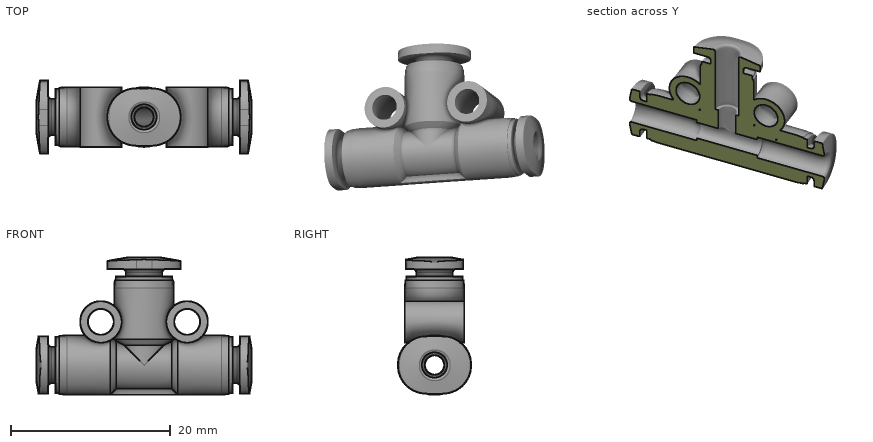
import cadquery as cq
import math


socket_reach = 13.5
body_radius = 7.5 / 2
lead_start = 9.65
lead_end = 10.6
lead_end_radius = 3.68
ring_end = 11.1
ring_radius = 7.1 / 2
ring_round = 0.1

neck_radius = 4.58 / 2
neck_fillet = 0.4
flange_back = 12.0
flange_length = 9.2
flange_width = 7.2
crown_drop = 0.45
rim_round = 0.15

tube_bore_radius = 3.17 / 2
tube_stop = 4.2
through_bore_radius = 2.4 / 2
mouth_round = 0.35

core_radius = 3.0
run_body_start = 4.2
branch_body_start = 3.25
shoulder_length = body_radius - core_radius
web_thickness = 1.2

eye_offset = 5.4
eye_diameter = 5.2
eye_hole_diameter = 3.2
eye_length = 2 * body_radius


def make_run_cylinder(radius, half_length):
    """Cylinder along X, centred on the origin."""
    end_plane = cq.Workplane("YZ", origin=(-half_length, 0, 0))
    return end_plane.circle(radius).extrude(2 * half_length)


def make_crossing_cylinders(radius, run_half_length, branch_length):
    """Cylinder along X with an equal one rising from it along +Z."""
    branch = cq.Workplane("XY").circle(radius).extrude(branch_length)
    return make_run_cylinder(radius, run_half_length).union(branch)


def make_web():
    """Rib under the core, filling the gap between the two run bodies."""
    blank = cq.Workplane("XY", origin=(0, 0, -body_radius / 2)).box(
        2 * run_body_start, web_thickness, body_radius
    )
    return blank.intersect(make_run_cylinder(body_radius, run_body_start))


def make_body(body_start):
    """Socket body, retaining ring and collar neck along +Z."""
    cone_start = body_start - shoulder_length
    ring_rounding_end = (ring_radius - ring_round, ring_end)
    neck_fillet_end = (neck_radius + neck_fillet, flange_back)
    return (
        cq.Workplane("XZ")
        .moveTo(0, cone_start)
        .lineTo(core_radius, cone_start)
        .lineTo(body_radius, body_start)
        .lineTo(body_radius, lead_start)
        .lineTo(lead_end_radius, lead_end)
        .lineTo(ring_radius, lead_end)
        .lineTo(ring_radius, ring_end - ring_round)
        .tangentArcPoint(ring_rounding_end, relative=False)
        .lineTo(neck_radius, ring_end)
        .lineTo(neck_radius, flange_back - neck_fillet)
        .tangentArcPoint(neck_fillet_end, relative=False)
        .lineTo(0, flange_back)
        .close()
        .revolve(360, (0, 0, 0), (0, 1, 0))
    )


def make_flange():
    """Oblong flange along +Z, long in X, with a shallow conical face."""
    thickness = socket_reach - flange_back
    back_plane = cq.Workplane("XY", origin=(0, 0, flange_back))
    blank = back_plane.slot2D(flange_length, flange_width).extrude(thickness)
    tip_radius = flange_length / 2
    rim_height = socket_reach - crown_drop
    rim_rounding_end = (tip_radius - rim_round, rim_height)
    crown = (
        cq.Workplane("XZ")
        .moveTo(0, flange_back)
        .lineTo(tip_radius, flange_back)
        .lineTo(tip_radius, rim_height - rim_round)
        .tangentArcPoint(rim_rounding_end, relative=False)
        .lineTo(tube_bore_radius + mouth_round, socket_reach)
        .lineTo(0, socket_reach)
        .close()
        .revolve(360, (0, 0, 0), (0, 1, 0))
    )
    return blank.intersect(crown)


def make_tube_bore():
    """Tube bore with a rounded mouth, along +Z."""
    mouth_radius = tube_bore_radius + mouth_round
    round_start = socket_reach - mouth_round
    diagonal = mouth_round * math.sqrt(0.5)
    return (
        cq.Workplane("XZ")
        .moveTo(0, tube_stop)
        .lineTo(tube_bore_radius, tube_stop)
        .lineTo(tube_bore_radius, round_start)
        .threePointArc((mouth_radius - diagonal, round_start + diagonal), (mouth_radius, socket_reach))
        .lineTo(0, socket_reach)
        .close()
        .revolve(360, (0, 0, 0), (0, 1, 0))
    )


def place_sockets(run_shape, branch_shape):
    """Copies of a +Z shape on both run ends, and one shape on the branch."""
    right = run_shape.rotate((0, 0, 0), (0, 0, 1), 90).rotate((0, 0, 0), (0, 1, 0), 90)
    left = right.mirror("YZ")
    return [right, left, branch_shape]


def make_eye_cylinders(diameter):
    """Pair of cylinders along Y, one on each side of the branch."""
    centres = [(-eye_offset, eye_offset), (eye_offset, eye_offset)]
    end_plane = cq.Workplane("XZ", origin=(0, eye_length / 2, 0))
    return end_plane.pushPoints(centres).circle(diameter / 2).extrude(eye_length)


flange = make_flange()
tube_bore = make_tube_bore()
run_socket = make_body(run_body_start).union(flange)
branch_socket = make_body(branch_body_start).union(flange)

core = make_crossing_cylinders(core_radius, run_body_start, branch_body_start)
passage = make_crossing_cylinders(through_bore_radius, tube_stop, tube_stop)

result = core.union(make_web())
for socket in place_sockets(run_socket, branch_socket):
    result = result.union(socket)
result = result.union(make_eye_cylinders(eye_diameter))
result = result.cut(passage)
for cutter in place_sockets(tube_bore, tube_bore):
    result = result.cut(cutter)
result = result.cut(make_eye_cylinders(eye_hole_diameter))